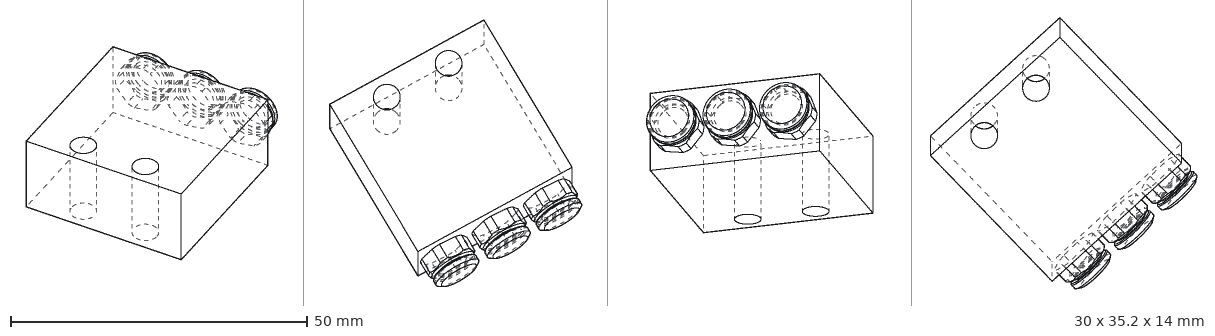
import cadquery as cq

total_depth = 35.2
block_side = 30.0
block_height = 14.0

hole_count = 2
hole_diameter = 4.5
hole_spacing = 12.0
hole_front_offset = 3.7

fitting_count = 3
fitting_pitch = 10.0
fitting_length = total_depth - block_side

nut_length = 3.15
nut_corner_diameter = 9.0
nut_across_flats = 8.45
nut_chamfer = 0.4
nut_turn = 20.0

collar_radius = 4.2
collar_thickness = 1.62
collar_face_radius = 3.4
collar_bevel_depth = 0.53
collar_back_chamfer = 0.2
neck_collar_radius = 3.1
neck_nut_radius = 2.68


def make_block():
    """Square block with its mounting holes drilled right through."""
    block = cq.Workplane("XY").box(block_side, block_side, block_height, centered=(True, False, True))
    return (
        block.faces(">Z")
        .workplane(origin=(0, hole_front_offset, 0))
        .rarray(hole_spacing, 0.35, hole_count, 1)
        .hole(hole_diameter)
    )


def make_nut():
    """Hex nut along +Z, with the corners chamfered at its outer end."""
    hexagon = (
        cq.Workplane("XY")
        .polygon(6, nut_across_flats, circumscribed=True)
        .extrude(nut_length)
        .rotate((0, 0, 0), (0, 0, 1), nut_turn)
    )
    envelope = (
        cq.Workplane("XY")
        .circle(nut_corner_diameter / 2)
        .extrude(nut_length)
        .faces(">Z")
        .chamfer(nut_chamfer)
    )
    return hexagon.intersect(envelope)


def make_collar():
    """Neck and release collar, revolved about Z above the nut."""
    collar_back = fitting_length - collar_thickness
    profile = [
        (0, nut_length),
        (neck_nut_radius, nut_length),
        (neck_collar_radius, collar_back),
        (collar_radius - collar_back_chamfer, collar_back),
        (collar_radius, collar_back + collar_back_chamfer),
        (collar_radius, fitting_length - collar_bevel_depth),
        (collar_face_radius, fitting_length),
        (0, fitting_length),
    ]
    return cq.Workplane("XZ").polyline(profile).close().revolve(360, (0, 0, 0), (0, 1, 0))


def make_fitting():
    """Complete fitting, laid down so its axis runs along +Y from the back face."""
    fitting = make_nut().union(make_collar())
    return fitting.rotate((0, 0, 0), (1, 0, 0), -90).translate((0, block_side, 0))


result = make_block()
fitting = make_fitting()
for index in range(fitting_count):
    fitting_x = (index - (fitting_count - 1) / 2) * fitting_pitch
    result = result.union(fitting.translate((fitting_x, 0, 0)))